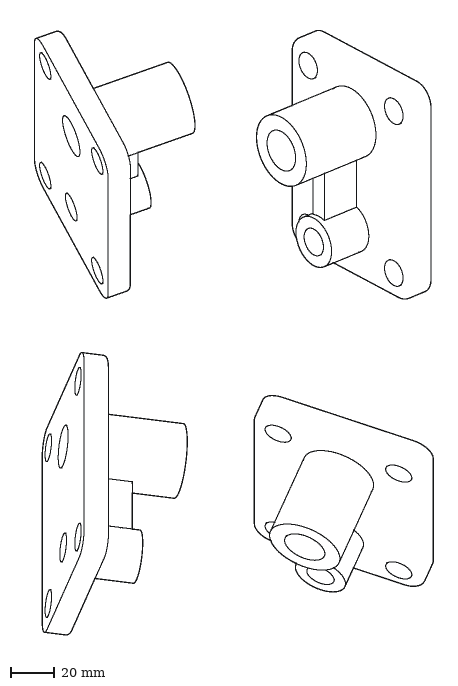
import cadquery as cq

plate_width = 85.0
plate_height = 110.0
plate_thickness = 12.0
corner_radius = 10.0
back_edge_radius = 2.0

mount_hole_diameter = 13.0
mount_hole_inset = 12.5

upper_boss_diameter = 35.0
upper_boss_depth = 55.0
upper_bore_diameter = 20.0
upper_boss_z = plate_height / 2 - 30.0

lower_boss_diameter = 25.0
lower_boss_depth = 35.0
lower_bore_diameter = 13.5
lower_boss_z = -plate_height / 2 + 25.0

rib_width = 8.0
rib_depth = 32.0


def cylinder_along_y(diameter, depth, z):
    """Cylinder on the plate centreline, from the mounting face toward +Y."""
    return cq.Workplane("XZ").center(0, z).circle(diameter / 2).extrude(-depth)


def make_plate():
    blank = cq.Workplane("XZ").rect(plate_width, plate_height).extrude(-plate_thickness)
    rounded = blank.edges("|Y").fillet(corner_radius)
    return rounded.faces(">Y").edges().fillet(back_edge_radius)


def make_rib():
    length = upper_boss_z - lower_boss_z
    middle_z = (upper_boss_z + lower_boss_z) / 2
    return cq.Workplane("XZ").center(0, middle_z).rect(rib_width, length).extrude(-rib_depth)


def make_mount_holes():
    pitch_x = plate_width - 2 * mount_hole_inset
    pitch_z = plate_height - 2 * mount_hole_inset
    corners = cq.Workplane("XZ").rect(pitch_x, pitch_z, forConstruction=True).vertices()
    return corners.circle(mount_hole_diameter / 2).extrude(-plate_thickness)


body = (
    make_plate()
    .union(make_rib())
    .union(cylinder_along_y(upper_boss_diameter, upper_boss_depth, upper_boss_z))
    .union(cylinder_along_y(lower_boss_diameter, lower_boss_depth, lower_boss_z))
)

result = (
    body.cut(make_mount_holes())
    .cut(cylinder_along_y(upper_bore_diameter, upper_boss_depth, upper_boss_z))
    .cut(cylinder_along_y(lower_bore_diameter, lower_boss_depth, lower_boss_z))
)